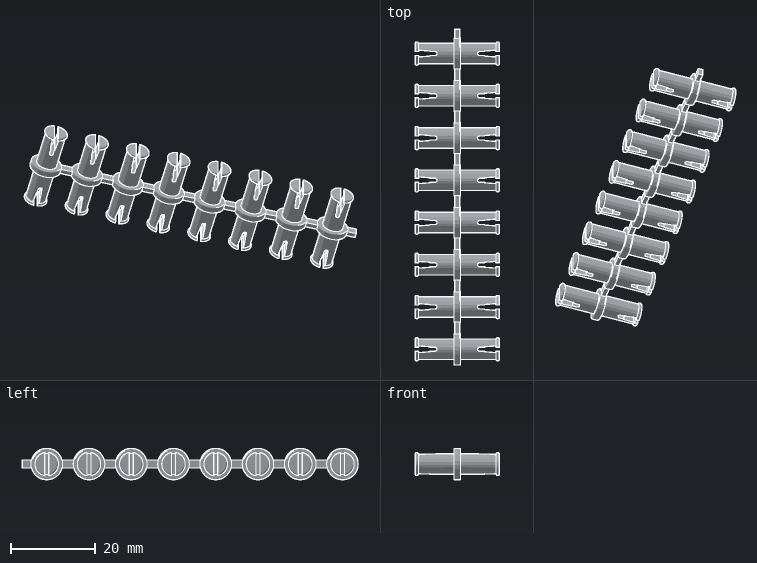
import cadquery as cq

strip_length = 79.5
pin_count = 8
end_tab_reach = 5.8

pin_length = 20.0
body_diameter = 4.9
lip_diameter = 5.6
lip_width = 0.8
lip_face_diameter = 4.85

collar_diameter = 7.5
collar_width = 1.6
collar_rounding = 0.2

bar_width = 1.2
bar_height = 2.0

slot_depth = 5.2
slot_mouth_width = 0.9
slot_flare_length = 0.2
slot_wide_width = 1.5
slot_taper_width = 1.1
slot_root_width = 0.9
slot_root_length = 1.6

pin_half = pin_length / 2
first_pin_y = -strip_length / 2 + collar_diameter / 2
last_pin_y = strip_length / 2 - end_tab_reach
pin_pitch = (last_pin_y - first_pin_y) / (pin_count - 1)


def x_cylinder(diameter, length, start_x):
    """Solid cylinder along X, starting at start_x."""
    return cq.Workplane("YZ").workplane(offset=start_x).circle(diameter / 2).extrude(length)


def make_slot():
    """Cutter for the +X end: narrow at the lip, flared behind it, stepped to a round-ended root."""
    mouth_end_x = pin_half - lip_width
    wide_x = mouth_end_x - slot_flare_length
    root_x = pin_half - slot_depth
    step_x = root_x + slot_root_length
    root_radius = slot_root_width / 2
    return (
        cq.Workplane("XY")
        .workplane(offset=-lip_diameter)
        .moveTo(pin_half, slot_mouth_width / 2)
        .lineTo(mouth_end_x, slot_mouth_width / 2)
        .lineTo(wide_x, slot_wide_width / 2)
        .lineTo(step_x, slot_taper_width / 2)
        .lineTo(step_x, root_radius)
        .lineTo(root_x + root_radius, root_radius)
        .threePointArc((root_x, 0), (root_x + root_radius, -root_radius))
        .lineTo(step_x, -root_radius)
        .lineTo(step_x, -slot_taper_width / 2)
        .lineTo(wide_x, -slot_wide_width / 2)
        .lineTo(mouth_end_x, -slot_mouth_width / 2)
        .lineTo(pin_half, -slot_mouth_width / 2)
        .close()
        .extrude(2 * lip_diameter)
    )


def make_lip():
    """Lip of the +X end: a disc whose rim is rounded from the end face to the body."""
    lip_start = pin_half - lip_width
    return (
        cq.Workplane("XY")
        .moveTo(lip_start, 0)
        .lineTo(lip_start, body_diameter / 2)
        .threePointArc((pin_half - lip_width / 2, lip_diameter / 2), (pin_half, lip_face_diameter / 2))
        .lineTo(pin_half, 0)
        .close()
        .revolve(360, (0, 0, 0), (1, 0, 0))
    )


def make_pin():
    """One pin with its collar, lipped ends and end slots, centred on the origin."""
    collar = x_cylinder(collar_diameter, collar_width, -collar_width / 2).edges().fillet(collar_rounding)
    lip = make_lip()
    slot = make_slot()
    body = x_cylinder(body_diameter, pin_length - 2 * lip_width, lip_width - pin_half)
    pin = body.union(collar).union(lip).union(lip.mirror("YZ"))
    return pin.cut(slot).cut(slot.mirror("YZ"))


def make_bar(start_y, end_y):
    """Bar along the strip between two Y positions."""
    middle_y = (start_y + end_y) / 2
    return cq.Workplane("XY").center(0, middle_y).box(bar_width, end_y - start_y, bar_height)


result = make_bar(first_pin_y, strip_length / 2)
pin = make_pin()
for index in range(pin_count):
    result = result.union(pin.translate((0, first_pin_y + index * pin_pitch, 0)))